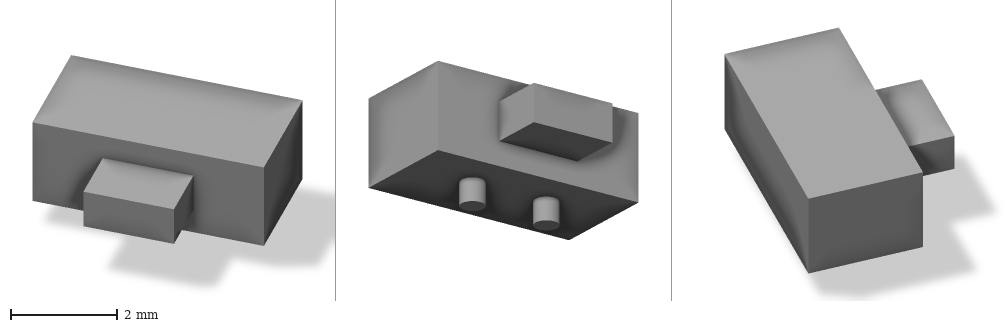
import cadquery as cq

body_length = 4.6
body_depth = 2.3
body_height = 1.815

actuator_width = 1.8
actuator_height = 0.8
actuator_reach = 1.15

overall_height = 2.3
pin_diameter = 0.5
pin_length = overall_height - body_height
pin_spacing = 1.695
pin_setback = 0.95


def make_body():
    return cq.Workplane("XY").box(body_length, body_depth, body_height, centered=(True, True, False))


def make_actuator():
    return (
        cq.Workplane("XZ", origin=(0, -body_depth / 2, body_height / 2))
        .rect(actuator_width, actuator_height)
        .extrude(actuator_reach)
    )


def make_pins():
    pin_y = pin_setback - body_depth / 2
    return (
        cq.Workplane("XY")
        .pushPoints([(side * pin_spacing / 2, pin_y) for side in (-1, 1)])
        .circle(pin_diameter / 2)
        .extrude(-pin_length)
    )


result = make_body().union(make_actuator()).union(make_pins())